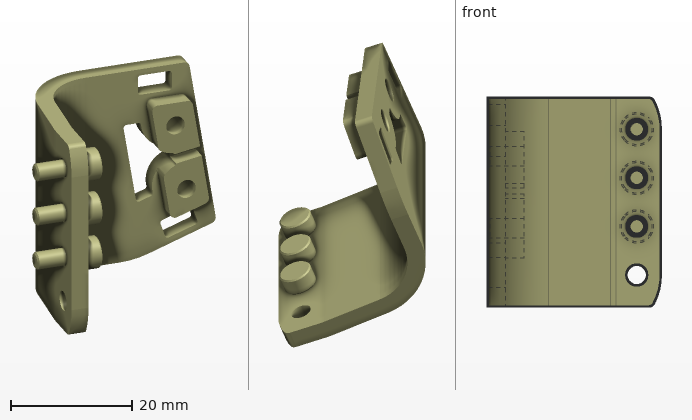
import cadquery as cq
import math

thickness = 3.0
foot_length = 28.6
height = 34.5
web_slope = 5.0
foot_start_x = 20.75
outer_bend_radius = 11.0

corner_fillet = 1.0
foot_end_radius = 10.0
lower_edge_radius = 15.95

screw_x = foot_length - 4.0
screw_pitch = 8.0
hole_count = 4
screw_hole_diameter = 3.4
shank_diameter = 3.0
shank_length = 7.97
shank_chamfer = 0.28
head_diameter = 5.5
head_height = 3.0
head_chamfer = 0.25
lowest_hole_z = (height - (hole_count - 1) * screw_pitch) / 2

tilt = 9.3
pair_middle_y = 27.65
pair_middle_z = 18.85
leg_end = 5.0
mount_spacing = 12.0
mount_diameter = 3.23
mount_chamfer = 0.4

slot_length = 6.0
slot_height = 3.5
slot_margin = 1.1
slot_middle_y = 24.15
slot_fillet = 0.5

window_near_end = -1.0
window_far_end = -8.0
window_fillet = 0.5
boss_radius = 5.0

pad_height = 3.0
pad_half_width = 3.55
pad_gap = 1.75
pad_slot_spacing = 1.0
pad_top_z = height - slot_margin - slot_height - pad_slot_spacing

sin_tilt = math.sin(math.radians(tilt))
cos_tilt = math.cos(math.radians(tilt))
tan_tilt = math.tan(math.radians(tilt))


def rise_to(z, along):
    """Distance from the symmetry line to the level z, at a position along the line."""
    return (z - pair_middle_z - along * sin_tilt) / cos_tilt


def tilt_into_place(body):
    return body.rotate((0, 0, 0), (1, 0, 0), tilt).translate((0, pair_middle_y, pair_middle_z))


def symmetric_prism(near, near_rise, far, far_rise, start_x, depth):
    """Untilted trapezoid, symmetric about the line, extruded along X."""
    corners = [(near, near_rise), (far, far_rise), (far, -far_rise), (near, -near_rise)]
    return cq.Workplane("YZ", origin=(start_x, 0, 0)).polyline(corners).close().extrude(depth)


def fillet_edge_near(body, point, radius):
    return body.edges(cq.selectors.NearestToPointSelector(point)).fillet(radius)


def point_on_arc(center, radius, degrees):
    angle = math.radians(degrees)
    return (center[0] + radius * math.cos(angle), center[1] + radius * math.sin(angle))


def make_bent_plate():
    """Strip of even thickness whose two bends have concentric outer and inner arcs."""
    half_slope = math.radians(web_slope / 2)
    corner_y = foot_start_x * math.tan(math.radians(web_slope))
    leg_bend = (outer_bend_radius, corner_y + outer_bend_radius * math.tan(math.pi / 4 - half_slope))
    foot_bend = (foot_start_x + outer_bend_radius * math.tan(half_slope), outer_bend_radius)
    reach_y = pair_middle_y + 2 * leg_end

    leg_side = 180
    web_side = 270 - web_slope
    foot_side = 270
    leg_bend_middle = (leg_side + web_side) / 2
    foot_bend_middle = (web_side + foot_side) / 2
    outer = outer_bend_radius
    inner = outer_bend_radius - thickness

    outer_web_start = point_on_arc(leg_bend, outer, web_side)
    outer_foot_start = point_on_arc(foot_bend, outer, foot_side)
    inner_web_end = point_on_arc(foot_bend, inner, web_side)
    inner_leg_start = point_on_arc(leg_bend, inner, leg_side)
    return (
        cq.Workplane("XY")
        .moveTo(0, reach_y)
        .lineTo(*point_on_arc(leg_bend, outer, leg_side))
        .threePointArc(point_on_arc(leg_bend, outer, leg_bend_middle), outer_web_start)
        .lineTo(*point_on_arc(foot_bend, outer, web_side))
        .threePointArc(point_on_arc(foot_bend, outer, foot_bend_middle), outer_foot_start)
        .lineTo(foot_length, 0)
        .lineTo(foot_length, thickness)
        .lineTo(*point_on_arc(foot_bend, inner, foot_side))
        .threePointArc(point_on_arc(foot_bend, inner, foot_bend_middle), inner_web_end)
        .lineTo(*point_on_arc(leg_bend, inner, web_side))
        .threePointArc(point_on_arc(leg_bend, inner, leg_bend_middle), inner_leg_start)
        .lineTo(thickness, reach_y)
        .close()
        .extrude(height)
    )


def trim_leg_end(plate):
    """Cut the tilted end edge and the rising lower edge, and round their corners."""
    far = -2 * pair_middle_y
    end_rise = rise_to(height, leg_end)
    keep = symmetric_prism(leg_end, end_rise, far, rise_to(height, far), 0, foot_length)
    plate = plate.intersect(tilt_into_place(keep))

    middle_x = thickness / 2
    for rise in (end_rise, -end_rise):
        corner_y = pair_middle_y + leg_end * cos_tilt - rise * sin_tilt
        corner_z = pair_middle_z + leg_end * sin_tilt + rise * cos_tilt
        plate = fillet_edge_near(plate, (middle_x, corner_y, corner_z), corner_fillet)

    edges_meet = (height - pair_middle_z) / sin_tilt
    lower_bend_y = pair_middle_y + edges_meet * cos_tilt - height / math.tan(math.radians(2 * tilt))
    return fillet_edge_near(plate, (middle_x, lower_bend_y, 0), lower_edge_radius)


def round_foot_end(plate):
    """Arc from the straight end edge to the top and bottom edges, tangent to the end edge."""
    drop = lowest_hole_z
    corner_x = foot_length - foot_end_radius + math.sqrt(foot_end_radius**2 - drop**2)
    middle_x = foot_length - foot_end_radius + math.sqrt(foot_end_radius**2 - (drop / 2) ** 2)
    keep = (
        cq.Workplane("XZ")
        .moveTo(0, 0)
        .lineTo(corner_x, 0)
        .threePointArc((middle_x, drop / 2), (foot_length, drop))
        .lineTo(foot_length, height - drop)
        .threePointArc((middle_x, height - drop / 2), (corner_x, height))
        .lineTo(0, height)
        .close()
        .extrude(-2 * pair_middle_y)
    )
    plate = plate.intersect(keep)
    for z in (0, height):
        plate = fillet_edge_near(plate, (corner_x, thickness / 2, z), corner_fillet)
    return plate


def make_window_cutter():
    """Trapezoid with its slanted sides through the mounting holes, less the two bosses."""
    depth = thickness + pad_height
    near_rise = mount_spacing / 2 - window_near_end * tan_tilt
    far_rise = mount_spacing / 2 - window_far_end * tan_tilt
    window = symmetric_prism(window_near_end, near_rise, window_far_end, far_rise, 0, depth)
    bosses = (
        cq.Workplane("YZ")
        .pushPoints([(0, mount_spacing / 2), (0, -mount_spacing / 2)])
        .circle(boss_radius)
        .extrude(depth)
    )
    return window.cut(bosses).edges("|X").fillet(window_fillet)


def make_pads(window):
    """Trapezoid between the slots, split in two by the window and the gap behind it."""
    near_rise = rise_to(pad_top_z, pad_half_width)
    far_rise = rise_to(pad_top_z, -pad_half_width)
    pads = symmetric_prism(pad_half_width, near_rise, -pad_half_width, far_rise, thickness, pad_height)
    pads = pads.cut(window).edges("|X and (<Y or >Y)").fillet(corner_fillet)

    gap_length = pad_half_width - window_near_end + window_fillet
    gap = cq.Workplane("XY").box(2 * pad_height, gap_length, pad_gap, centered=(True, False, True))
    gap = gap.translate((thickness + pad_height, window_near_end - window_fillet, 0))
    return pads.cut(gap)


def cut_slots(plate):
    """A level slot below the top edge and its mirror image above the lower edge."""
    slot_z = height - slot_margin - slot_height / 2
    upper = cq.Workplane("XY").box(2 * thickness, slot_length, slot_height).edges("|X").fillet(slot_fillet)
    upper = upper.translate((0, slot_middle_y, slot_z))
    mirror_normal = cq.Vector(0, -sin_tilt, cos_tilt)
    lower = upper.mirror(mirror_normal, (0, pair_middle_y, pair_middle_z))
    return plate.cut(upper).cut(lower)


def cut_mount_holes(bracket):
    """Two holes through the leg and its pads, chamfered on the outer face."""
    radius = mount_diameter / 2
    for rise in (mount_spacing / 2, -mount_spacing / 2):
        hole = cq.Workplane("YZ").center(0, rise).circle(radius).extrude(thickness + pad_height)
        mouth = cq.Solid.makeCone(
            radius + mount_chamfer, radius, mount_chamfer, cq.Vector(0, 0, rise), cq.Vector(1, 0, 0)
        )
        bracket = bracket.cut(tilt_into_place(hole.union(cq.Workplane(mouth))))
    return bracket


def cut_screw_holes(bracket):
    centers = [(screw_x, lowest_hole_z + i * screw_pitch) for i in range(hole_count)]
    holes = cq.Workplane("XZ").pushPoints(centers).circle(screw_hole_diameter / 2).extrude(-thickness)
    return bracket.cut(holes)


def make_bracket():
    plate = round_foot_end(trim_leg_end(make_bent_plate()))
    window = make_window_cutter()
    bracket = plate.cut(tilt_into_place(window)).union(tilt_into_place(make_pads(window)))
    return cut_screw_holes(cut_mount_holes(cut_slots(bracket)))


def make_screw(z):
    """Cylinder-head screw pointing toward -Y, its head seated on the foot's inner face."""
    seat = cq.Workplane("XZ", origin=(screw_x, thickness, z))
    head = seat.circle(head_diameter / 2).extrude(-head_height).edges().chamfer(head_chamfer)
    shank = seat.circle(shank_diameter / 2).extrude(shank_length).faces("<Y").chamfer(shank_chamfer)
    return head.union(shank)


bracket = make_bracket()
screws = [make_screw(lowest_hole_z + i * screw_pitch) for i in range(1, hole_count)]

result = cq.Compound.makeCompound([bracket.val(), *[screw.val() for screw in screws]])